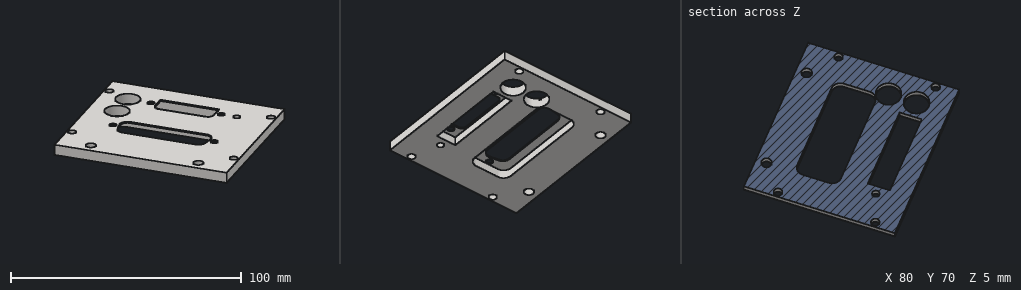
import cadquery as cq
import math

plate_length = 80
plate_width = 70.0
plate_thickness = 5.0

edge_hole_diameter = 3.6
edge_hole_x = 37.5
edge_hole_rows = (25.0, -20)
lower_hole_diameter = 4.5
lower_hole_x = 25.0
lower_hole_y = -30.0

round_opening_diameter = 11.0
round_opening_x = -27.0
round_opening_pitch = 13.0

screw_diameter = 3.1
lip_thickness = 0.6
small_center_y = 20
small_screw_x = 16.3
small_length = 27.2
small_height = 9.0
small_corner_radius = 2.6
extra_hole_x = 23.5
large_center_y = -7.0
large_screw_x = 23.5
large_top_length = 43.7
large_height = 11.4
large_corner_radius = 3.5
large_side_angle = 10

small_recess_length = 39.2
small_recess_height = 10.0
large_recess_length = 50.4
large_recess_height = 20
recess_corner_radius = 4


def drill(body, diameter, points):
    """Drill round holes through the full plate thickness."""
    holes = cq.Workplane("XY").pushPoints(points).circle(diameter / 2).extrude(plate_thickness)
    return body.cut(holes)


def recess(length, height, center_y):
    """Underside pocket that stops at the connector lip."""
    outline = cq.Workplane("XY").center(0, center_y).rect(length, height)
    return outline.extrude(plate_thickness - lip_thickness)


def small_opening():
    """Rectangle with its two lower corners rounded."""
    outline = cq.Workplane("XY").center(0, small_center_y).rect(small_length, small_height)
    return outline.extrude(plate_thickness).edges("|Z and <Y").fillet(small_corner_radius)


def large_opening():
    """D-shaped opening that narrows towards -Y, with all corners rounded."""
    half_top = large_top_length / 2
    half_bottom = half_top - large_height * math.tan(math.radians(large_side_angle))
    top_y = large_center_y + large_height / 2
    bottom_y = large_center_y - large_height / 2
    corners = [(-half_top, top_y), (half_top, top_y), (half_bottom, bottom_y), (-half_bottom, bottom_y)]
    block = cq.Workplane("XY").polyline(corners).close().extrude(plate_thickness)
    return block.edges("|Z").fillet(large_corner_radius)


plate = cq.Workplane("XY").box(plate_length, plate_width, plate_thickness, centered=(True, True, False))

plate = plate.cut(recess(small_recess_length, small_recess_height, small_center_y))
large_recess = recess(large_recess_length, large_recess_height, large_center_y)
plate = plate.cut(large_recess.edges("|Z").fillet(recess_corner_radius))
plate = plate.cut(small_opening())
plate = plate.cut(large_opening())

edge_points = [(side * edge_hole_x, y) for side in (-1, 1) for y in edge_hole_rows]
plate = drill(plate, edge_hole_diameter, edge_points)
plate = drill(plate, lower_hole_diameter, [(side * lower_hole_x, lower_hole_y) for side in (-1, 1)])
round_rows = (small_center_y, small_center_y - round_opening_pitch)
round_points = [(round_opening_x, y) for y in round_rows]
plate = drill(plate, round_opening_diameter, round_points)
plate = drill(plate, screw_diameter, [(side * small_screw_x, small_center_y) for side in (-1, 1)])
plate = drill(plate, screw_diameter, [(side * large_screw_x, large_center_y) for side in (-1, 1)])
plate = drill(plate, screw_diameter, [(extra_hole_x, small_center_y)])

result = plate